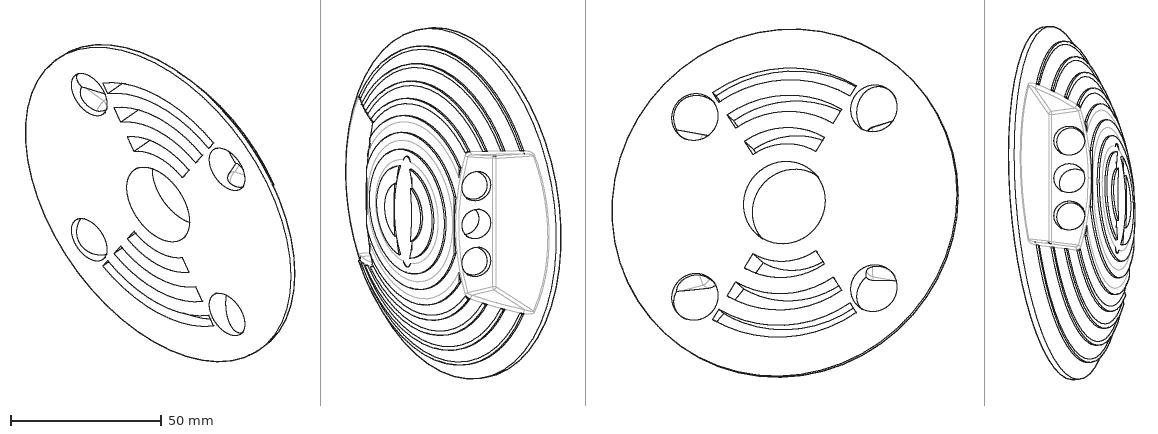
import cadquery as cq
import math

disc_radius = 59.0
rim_height = 2.0
overall_height = 22.02

outer_ring_radius = 53.7
ring_pitch = 5.45
ring_count = 9
ring_step = 0.7

bare_half_width = 5.0
bare_half_length = 19.0

dome_wall = 4.7
pocket_wall = 2.8
bore_radius = 14.0
bore_depth = 12.9
bolt_hole_radius = 7.95
bolt_hole_offset = 30.6
slot_half_angle = 32.5
slot_radii = [(20.0, 25.5), (31.0, 36.5), (41.75, 45.75)]

back_x = 27.4
back_tilt = 15.0
base_y_at_back = 5.5
base_slope = 3.6
base_half_width = 22.3
end_slope = 14.0
end_lean = 12.0
inner_fillet = 1.0
mouth_fillet = 1.0

hole_radius = 5.0
hole_y = 11.75
hole_spacing = 13.0
ball_radius = 4.7
ball_sink = 1.8

clearance = 10.0
tolerance = 1e-3

ring_radii = [outer_ring_radius - i * ring_pitch for i in range(ring_count)]
inner_ring_radius = ring_radii[-1]

inner_ring_foot = overall_height - ring_step
dome_center_y = (
    (inner_ring_foot**2 + inner_ring_radius**2 - rim_height**2 - disc_radius**2)
    / (2 * (inner_ring_foot - rim_height))
)
dome_radius = math.hypot(disc_radius, rim_height - dome_center_y)
dome_apex = dome_center_y + dome_radius


def tan(degrees):
    return math.tan(math.radians(degrees))


def dome_y(radius):
    """Height of the smooth dome at a distance from the disc axis."""
    return dome_center_y + math.sqrt(dome_radius**2 - radius**2)


def dome():
    mid_radius = disc_radius / 2
    return (
        cq.Workplane("XY")
        .lineTo(disc_radius, 0)
        .lineTo(disc_radius, rim_height)
        .threePointArc((mid_radius, dome_y(mid_radius)), (0, dome_apex))
        .close()
        .revolve(360, (0, 0, 0), (0, 1, 0))
    )


def ring_steps():
    """Stepped stack of discs; only the outer edge of each stands proud of the dome."""
    outline = cq.Workplane("XY").moveTo(0, rim_height).lineTo(outer_ring_radius, rim_height)
    for radius, next_radius in zip(ring_radii, ring_radii[1:] + [0]):
        top = dome_y(radius) + ring_step
        outline = outline.lineTo(radius, top).lineTo(next_radius, top)
    steps = outline.close().revolve(360, (0, 0, 0), (0, 1, 0))
    bare_area = cq.Workplane("XZ").ellipse(bare_half_width, bare_half_length)
    return steps.cut(bare_area.extrude(-overall_height - clearance))


def pocket(grow=0.0):
    """Space of the -X pocket; grow moves its back, base and end walls outward."""
    top_y = overall_height + clearance
    outer_x = disc_radius + clearance

    def back_at(y):
        return back_x - grow - (y - hole_y) * tan(back_tilt)

    def base_at(x):
        return base_y_at_back - grow - (x - back_x) * tan(base_slope)

    def half_width_at(x, y):
        lean = (y - base_y_at_back) * tan(end_lean)
        return base_half_width + grow + lean + (x - back_x) * tan(end_slope)

    def section(base_x, top_x):
        base_y = base_at(base_x)
        low = half_width_at(base_x, base_y)
        high = half_width_at(top_x, top_y)
        corners = [
            cq.Vector(-base_x, base_y, -low),
            cq.Vector(-top_x, top_y, -high),
            cq.Vector(-top_x, top_y, high),
            cq.Vector(-base_x, base_y, low),
        ]
        return cq.Wire.makePolygon(corners, close=True)

    back = section(back_at(base_y_at_back - grow), back_at(top_y))
    space = cq.Workplane(cq.Solid.makeLoft([back, section(outer_x, outer_x)], True))
    inner_edges = space.edges("not(>Y or <X)").filter(lambda e: e.Center().y < top_y - tolerance)
    return inner_edges.fillet(inner_fillet + grow)


def pocket_pair(grow=0.0):
    left = pocket(grow)
    return [left, left.mirror("YZ")]


def on_pocket_mouth(edge):
    """True for edges that lie on the dome sphere and run around a pocket."""
    center = cq.Vector(0, dome_center_y, 0)
    spots = [edge.positionAt(t) - center for t in (0, 0.5, 1)]
    on_sphere = all(abs(spot.Length - dome_radius) < tolerance for spot in spots)
    is_seam = edge.BoundingBox().zlen < tolerance
    return on_sphere and not is_seam and edge.Center().y > rim_height + tolerance


def back_holes():
    """Blind holes along X in the -X pocket; their floors are parallel to the back wall."""
    depth = ball_sink + ball_radius / math.cos(math.radians(back_tilt))
    floor_x = back_x - depth
    reach = 2 * hole_radius
    shift = reach * tan(back_tilt)
    outside = (
        cq.Workplane("XY")
        .moveTo(-floor_x - shift, hole_y - reach)
        .lineTo(-floor_x + shift, hole_y + reach)
        .lineTo(-disc_radius, hole_y + reach)
        .lineTo(-disc_radius, hole_y - reach)
        .close()
        .extrude(disc_radius, both=True)
    )
    centers = [(hole_y, i * hole_spacing) for i in (-1, 0, 1)]
    holes = cq.Workplane("YZ").pushPoints(centers).circle(hole_radius).extrude(-disc_radius)
    return holes.intersect(outside)


def slot(inner, outer, turn):
    """Arc slot between two radii, centred on +Z and then turned about Y."""

    def at(radius, degrees):
        angle = math.radians(degrees)
        return (radius * math.sin(angle), radius * math.cos(angle))

    sector = (
        cq.Workplane("XZ")
        .moveTo(*at(inner, -slot_half_angle))
        .threePointArc(at(inner, 0), at(inner, slot_half_angle))
        .lineTo(*at(outer, slot_half_angle))
        .threePointArc(at(outer, 0), at(outer, -slot_half_angle))
        .close()
        .extrude(-dome_apex)
    )
    return sector.rotate((0, 0, 0), (0, 1, 0), turn)


def bolt_hole(x, z):
    return cq.Workplane("XZ").center(x, z).circle(bolt_hole_radius).extrude(-dome_apex)


def face_cutouts():
    """Bolt holes and slots, ending a wall short of the dome and the pockets."""
    core = cq.Workplane("XY").sphere(dome_radius - dome_wall).translate((0, dome_center_y, 0))
    for space in pocket_pair(pocket_wall):
        core = core.cut(space)
    signs = (-1, 1)
    cutouts = [bolt_hole(i * bolt_hole_offset, k * bolt_hole_offset) for i in signs for k in signs]
    cutouts += [slot(inner, outer, turn) for inner, outer in slot_radii for turn in (0, 180)]
    return [cutout.intersect(core) for cutout in cutouts]


def ball(x, z):
    return cq.Workplane("XY").sphere(ball_radius).translate((x, hole_y, z))


def housing():
    body = dome()
    for space in pocket_pair():
        body = body.cut(space)
    body = body.edges().filter(on_pocket_mouth).fillet(mouth_fillet)

    rings = ring_steps()
    for space in pocket_pair(mouth_fillet):
        rings = rings.cut(space)
    body = body.union(rings)

    for cutout in face_cutouts():
        body = body.cut(cutout)
    body = body.cut(cq.Workplane("XZ").circle(bore_radius).extrude(-bore_depth))
    holes = back_holes()
    return body.cut(holes).cut(holes.mirror("YZ"))


ball_x = back_x - ball_sink
balls = [ball(x, z) for x in (-ball_x, ball_x) for z in (-hole_spacing, hole_spacing)]
result = cq.Compound.makeCompound([housing().val(), *[b.val() for b in balls]])